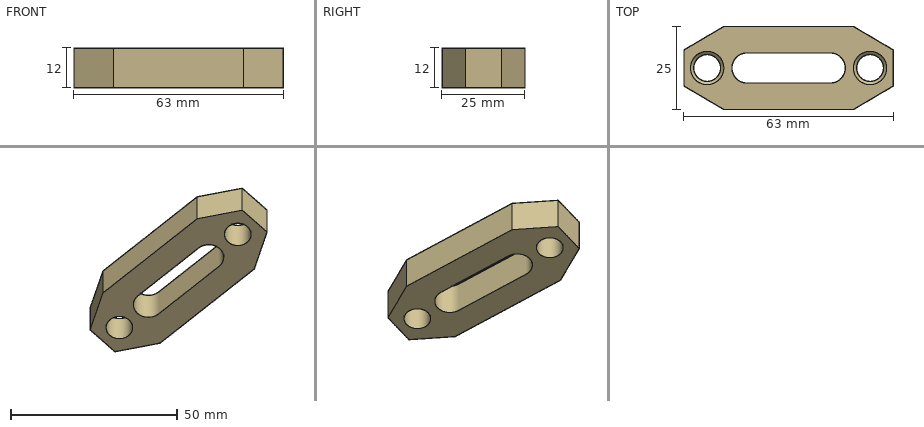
import cadquery as cq

length = 63.0
width = 25.0
thickness = 12.0
corner_length = 12.0
corner_width = 7.05

slot_length = 34.0
slot_width = 9.0

hole_spacing = 49.0
hole_diameter = 8.0
countersink_diameter = 10.0
countersink_angle = 90.0


def make_plate():
    """Flat bar with its four corners cut at an angle."""
    end_x = length / 2
    side_y = width / 2
    shoulder_x = end_x - corner_length
    end_y = side_y - corner_width
    outline = [
        (-end_x, -end_y),
        (-shoulder_x, -side_y),
        (shoulder_x, -side_y),
        (end_x, -end_y),
        (end_x, end_y),
        (shoulder_x, side_y),
        (-shoulder_x, side_y),
        (-end_x, end_y),
    ]
    return cq.Workplane("XY").polyline(outline).close().extrude(thickness)


def cut_slot(body):
    """Round-ended slot through the middle of the plate."""
    return body.faces(">Z").workplane().slot2D(slot_length, slot_width).cutThruAll()


def cut_bolt_holes(body):
    """One countersunk through hole near each end."""
    centers = [(-hole_spacing / 2, 0), (hole_spacing / 2, 0)]
    top = body.faces(">Z").workplane(origin=(0, 0, thickness))
    return top.pushPoints(centers).cskHole(hole_diameter, countersink_diameter, countersink_angle)


result = cut_bolt_holes(cut_slot(make_plate()))